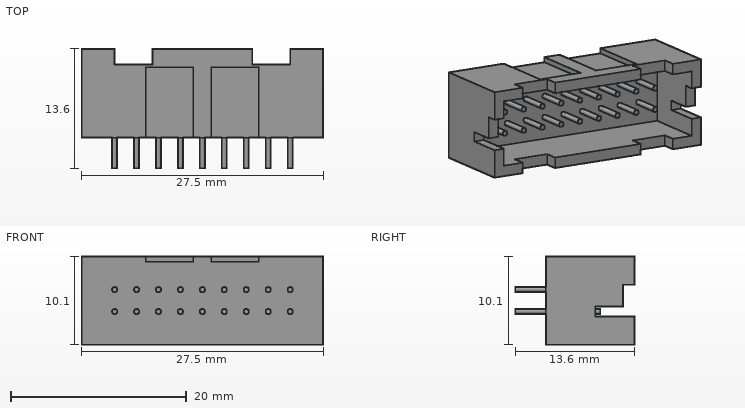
import cadquery as cq


body_length = 27.5
body_depth = 10.1
body_height = 10.1
wall = 1.25
floor_thickness = 2.5

pin_rows = 2
pins_per_row = 9
pitch = 2.5
pin_diameter = 0.6
pin_tail = 3.5
pin_tip_below_rim = 3.9

notch_width = 4.3
notch_depth = 1.75
notch_end_distance = 3.75

end_step_width = 3.6
end_step_depth = 1.3
end_slot_width = 1.1
end_slot_depth = 4.45

recess_width = 5.4
recess_length = 8.0
recess_depth = 0.6
recess_spacing = 7.45

mid_height = body_height / 2


def block(x_range, y_range, z_range):
    """Axis-aligned box spanning the given (low, high) ranges."""
    lows, highs = zip(x_range, y_range, z_range)
    sizes = [high - low for low, high in zip(lows, highs)]
    return cq.Workplane("XY").box(*sizes, centered=False).translate(lows)


def span(centre, width):
    """(low, high) range of the given width about a centre."""
    return (centre - width / 2, centre + width / 2)


def from_rim(depth):
    """Y range reaching the given depth below the rim."""
    return (body_depth - depth, body_depth)


full_length = span(0, body_length)
full_height = (0, body_height)


def make_shroud():
    body = block(full_length, (0, body_depth), full_height)
    cavity = block(
        span(0, body_length - 2 * wall),
        (floor_thickness, body_depth),
        (wall, body_height - wall),
    )
    return body.cut(cavity)


def cut_rim_notches(body):
    notch_offset = body_length / 2 - notch_end_distance - notch_width / 2
    for side in (-1, 1):
        notch = block(span(side * notch_offset, notch_width), from_rim(notch_depth), full_height)
        body = body.cut(notch)
    return body


def cut_end_openings(body):
    """Shallow step in both end walls, deepened to a narrow slot along its lower edge."""
    step_range = span(mid_height, end_step_width)
    slot_range = (step_range[0], step_range[0] + end_slot_width)
    step = block(full_length, from_rim(end_step_depth), step_range)
    slot = block(full_length, from_rim(end_slot_depth), slot_range)
    return body.cut(step).cut(slot)


def cut_top_recesses(body):
    depth_range = (body_height - recess_depth, body_height)
    for side in (-1, 1):
        x_range = span(side * recess_spacing / 2, recess_width)
        body = body.cut(block(x_range, (0, recess_length), depth_range))
    return body


def make_pins():
    pin_length = pin_tail + body_depth - pin_tip_below_rim
    return (
        cq.Workplane("XZ", origin=(0, -pin_tail, mid_height))
        .rarray(pitch, pitch, pins_per_row, pin_rows)
        .circle(pin_diameter / 2)
        .extrude(-pin_length)
    )


shroud = make_shroud()
shroud = cut_rim_notches(shroud)
shroud = cut_end_openings(shroud)
shroud = cut_top_recesses(shroud)
result = shroud.union(make_pins())